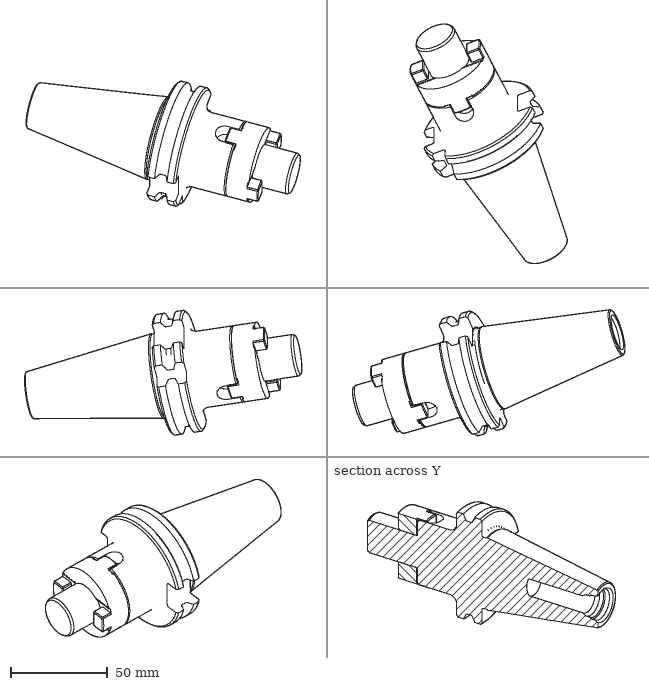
import cadquery as cq
import math


total_length = 142.2
flange_start = 71.5
flange_width = 15.8
flange_end = flange_start + flange_width
ring_start = 111.4
ring_face = 123.3

cutter_overrun = 1.4

taper_length = 68.0
taper_ratio = 7 / 24
taper_large_radius = 22.2
taper_small_radius = taper_large_radius - taper_length * taper_ratio / 2
taper_end_chamfer = 0.5
neck_radius = 21.9
neck_step_length = 0.7
neck_fillet = 1.0

flange_radius = 31.7
flange_chamfer = 1.0
groove_floor_radius = 28.2
groove_top_width = 6.8
groove_floor_width = 3.4
groove_center = flange_start + 8.0
groove_fillet = 0.7

drive_slot_half_width = 8.0
drive_slot_floor_back = 22.8
drive_slot_floor_front = 24.8
slot_corner_fillet = 1.1
notch_y = -18.4
notch_z = -18.0

shank_diameter = 40.0
shank_radius = shank_diameter / 2
shank_fillet = 4.3
shank_front_chamfer = 0.9
arbor_radius = 11.0
arbor_chamfer_length = 1.3
arbor_chamfer_angle = 30.0

key_half_width = 5.0
key_height = 5.5
key_inner_distance = 12.1
key_chamfer = 0.5
key_relief_half_width = 7.5
key_relief_depth = 0.5
key_slot_end = 99.6

bore_mouth_radius = 9.4
bore_pilot_radius = 8.5
bore_pilot_start = 1.7
bore_pilot_end = 4.4
bore_relief_radius = 8.0
bore_relief_end = 7.4
bore_lead_radius = 7.5
bore_lead_start = 8.3
bore_thread_radius = 7.0
bore_thread_start = 9.7
bore_thread_end = 42.7
bore_tip_angle = 118.0


def box_between(x_range, y_range, z_range):
    """Axis-aligned box given by its limits along X, Y and Z."""
    (x0, x1), (y0, y1), (z0, z1) = x_range, y_range, z_range
    return cq.Workplane("XY").box(x1 - x0, y1 - y0, z1 - z0, centered=False).translate((x0, y0, z0))


def revolve_about_x(points):
    """Revolve a closed outline of (x, radius) points about the tool axis."""
    return cq.Workplane("XY").polyline(points).close().revolve(360, (0, 0, 0), (1, 0, 0))


def cylinder_along_x(radius, x_start, x_end):
    return cq.Workplane("YZ").workplane(offset=x_start).circle(radius).extrude(x_end - x_start)


def make_turned_blank():
    """Taper, neck, flange, shank and arbor as one turned outline."""
    arc_offset = 1 - math.sqrt(0.5)
    chamfered_radius = taper_small_radius + taper_end_chamfer * taper_ratio / 2
    arbor_tip_radius = arbor_radius - arbor_chamfer_length * math.tan(math.radians(arbor_chamfer_angle))
    profile = (
        cq.Workplane("XY")
        .moveTo(0, 0)
        .lineTo(0, taper_small_radius - taper_end_chamfer)
        .lineTo(taper_end_chamfer, chamfered_radius)
        .lineTo(taper_length, taper_large_radius)
        .lineTo(taper_length + neck_step_length, neck_radius)
        .lineTo(flange_start - neck_fillet, neck_radius)
        .threePointArc(
            (flange_start - neck_fillet * arc_offset, neck_radius + neck_fillet * arc_offset),
            (flange_start, neck_radius + neck_fillet),
        )
        .lineTo(flange_start, flange_radius - flange_chamfer)
        .lineTo(flange_start + flange_chamfer, flange_radius)
        .lineTo(flange_end - flange_chamfer, flange_radius)
        .lineTo(flange_end, flange_radius - flange_chamfer)
        .lineTo(flange_end, shank_radius + shank_fillet)
        .threePointArc(
            (flange_end + shank_fillet * arc_offset, shank_radius + shank_fillet * arc_offset),
            (flange_end + shank_fillet, shank_radius),
        )
        .lineTo(ring_start - shank_front_chamfer, shank_radius)
        .lineTo(ring_start, shank_radius - shank_front_chamfer)
        .lineTo(ring_start, arbor_radius)
        .lineTo(total_length - arbor_chamfer_length, arbor_radius)
        .lineTo(total_length, arbor_tip_radius)
        .lineTo(total_length, 0)
        .close()
    )
    return profile.revolve(360, (0, 0, 0), (1, 0, 0))


def make_gripper_groove():
    """V-shaped ring to cut from the flange rim, with a rounded floor."""
    half_top = groove_top_width / 2
    half_floor = groove_floor_width / 2
    wall_slope = (half_top - half_floor) / (flange_radius - groove_floor_radius)
    cutter_radius = flange_radius + cutter_overrun
    half_cutter = half_top + wall_slope * (cutter_radius - flange_radius)
    groove = revolve_about_x([
        (groove_center - half_cutter, cutter_radius),
        (groove_center - half_floor, groove_floor_radius),
        (groove_center + half_floor, groove_floor_radius),
        (groove_center + half_cutter, cutter_radius),
    ])
    floor_edges = cq.selectors.RadiusNthSelector(0)
    return groove.edges("%CIRCLE").edges(floor_edges).fillet(groove_fillet)


def make_flange_slots():
    """Two drive slots and one orientation notch across the flange."""
    across_flange = (flange_start - neck_fillet, flange_end + shank_fillet)
    slot_height = (-drive_slot_half_width, drive_slot_half_width)
    rim = flange_radius + cutter_overrun
    back = box_between(across_flange, (drive_slot_floor_back, rim), slot_height)
    front = box_between(across_flange, (-rim, -drive_slot_floor_front), slot_height)
    notch = box_between(across_flange, (-rim, notch_y), (-rim, notch_z))
    return [
        back.edges("|X and <Y").fillet(slot_corner_fillet),
        front.edges("|X and >Y").fillet(slot_corner_fillet),
        notch.edges("|X and >Y and >Z").fillet(slot_corner_fillet),
    ]


def make_draw_bolt_bore():
    """Stepped threaded bore with a drilled conical bottom."""
    relief_step = bore_pilot_radius - bore_relief_radius
    tip_length = bore_thread_radius / math.tan(math.radians(bore_tip_angle / 2))
    return revolve_about_x([
        (0, 0),
        (0, bore_mouth_radius),
        (bore_pilot_start, bore_pilot_radius),
        (bore_pilot_end, bore_pilot_radius),
        (bore_pilot_end + relief_step, bore_relief_radius),
        (bore_relief_end, bore_relief_radius),
        (bore_lead_start, bore_lead_radius),
        (bore_thread_start, bore_thread_radius),
        (bore_thread_end, bore_thread_radius),
        (bore_thread_end + tip_length, 0),
    ])


def make_key_slot():
    """Round-ended slot in the top of the shank for one rear key of the ring."""
    slot_center = key_slot_end + key_half_width
    slot_height = shank_radius - key_inner_distance + cutter_overrun
    straight = box_between(
        (slot_center, ring_start),
        (-key_half_width, key_half_width),
        (key_inner_distance, key_inner_distance + slot_height),
    )
    round_end = (
        cq.Workplane("XY", origin=(slot_center, 0, key_inner_distance))
        .circle(key_half_width)
        .extrude(slot_height)
    )
    return straight.union(round_end)


def make_holder():
    holder = make_turned_blank().cut(make_gripper_groove())
    for slot in make_flange_slots():
        holder = holder.cut(slot)
    holder = holder.cut(make_draw_bolt_bore())
    for angle in (0, 180):
        holder = holder.cut(make_key_slot().rotate((0, 0, 0), (1, 0, 0), angle))
    return holder


def make_front_key():
    """Key on the +Y side of the ring's front face, chamfered on its free edges."""
    key_root = ring_face - key_relief_depth
    chamfered_half_width = key_half_width - key_chamfer
    outer_corner_y = math.sqrt(shank_radius**2 - chamfered_half_width**2)
    key = (
        cq.Workplane("YZ", origin=(key_root, 0, 0))
        .moveTo(key_inner_distance, -chamfered_half_width)
        .lineTo(key_inner_distance + key_chamfer, -key_half_width)
        .lineTo(outer_corner_y - key_chamfer, -key_half_width)
        .lineTo(outer_corner_y, -chamfered_half_width)
        .threePointArc((shank_radius, 0), (outer_corner_y, chamfered_half_width))
        .lineTo(outer_corner_y - key_chamfer, key_half_width)
        .lineTo(key_inner_distance + key_chamfer, key_half_width)
        .lineTo(key_inner_distance, chamfered_half_width)
        .close()
        .extrude(key_relief_depth + key_height)
    )
    return key.faces(">X").chamfer(key_chamfer)


def make_front_relief():
    """Shallow recess in the front face of the ring around the front keys."""
    return box_between(
        (ring_face - key_relief_depth, ring_face),
        (-shank_radius, shank_radius),
        (-key_relief_half_width, key_relief_half_width),
    )


def to_rear_face(feature):
    """Move a front-face feature to the rear face, a quarter turn about the axis."""
    ring_middle = (ring_start + ring_face) / 2
    return feature.mirror("YZ", (ring_middle, 0, 0)).rotate((0, 0, 0), (1, 0, 0), 90)


def make_driving_ring():
    """Ring around the arbor with two front keys (Y) and two rear keys (Z)."""
    ring = cylinder_along_x(shank_radius, ring_start, ring_face)
    relief = make_front_relief()
    ring = ring.cut(relief).cut(to_rear_face(relief))
    for angle in (0, 180):
        key = make_front_key().rotate((0, 0, 0), (1, 0, 0), angle)
        ring = ring.union(key).union(to_rear_face(key))
    return ring.cut(cylinder_along_x(arbor_radius, 0, total_length))


holder = make_holder()
driving_ring = make_driving_ring()

result = cq.Compound.makeCompound([holder.solids().val(), driving_ring.solids().val()])